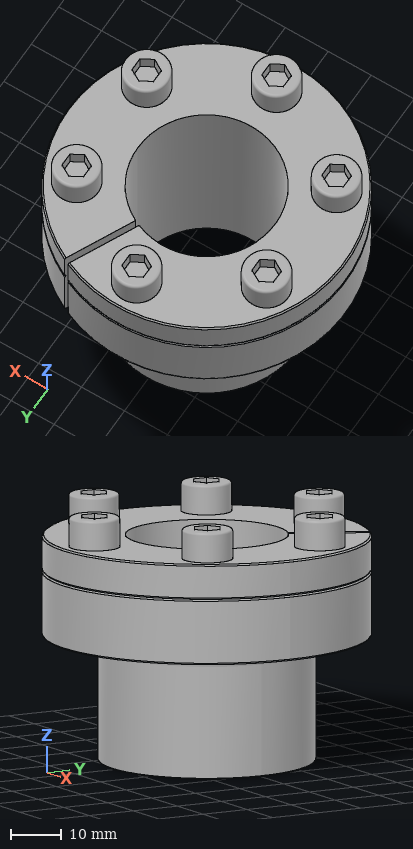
import cadquery as cq
import math

flange_diameter = 64.8
hub_diameter = 42.9
bore_diameter = 32.0

flange_bottom = 24.95
ring_joint = 38.0
ring_top = 45.0

edge_chamfer = 0.3
hub_chamfer = 0.25
neck_fillet = 2.5

slot_width = 1.3
slot_angle = 25.7

screw_count = 6
screw_circle_diameter = 51.1
screw_hole_diameter = 6.0
head_diameter = 10.0
head_height = 6.0
head_rounding = 0.65
socket_across_flats = 5.0
socket_depth = 3.0


def make_body():
    """Hub, flange and ring as one revolved section, with a V-groove at the ring joint."""
    flange_radius = flange_diameter / 2
    hub_radius = hub_diameter / 2
    bore_radius = bore_diameter / 2
    arc_inset = neck_fillet * (1 - math.sqrt(0.5))
    return (
        cq.Workplane("XZ")
        .moveTo(bore_radius, 0)
        .lineTo(hub_radius - hub_chamfer, 0)
        .lineTo(hub_radius, hub_chamfer)
        .lineTo(hub_radius, flange_bottom - neck_fillet)
        .threePointArc(
            (hub_radius + arc_inset, flange_bottom - arc_inset),
            (hub_radius + neck_fillet, flange_bottom),
        )
        .lineTo(flange_radius - edge_chamfer, flange_bottom)
        .lineTo(flange_radius, flange_bottom + edge_chamfer)
        .lineTo(flange_radius, ring_joint - edge_chamfer)
        .lineTo(flange_radius - edge_chamfer, ring_joint)
        .lineTo(flange_radius, ring_joint + edge_chamfer)
        .lineTo(flange_radius, ring_top - edge_chamfer)
        .lineTo(flange_radius - edge_chamfer, ring_top)
        .lineTo(bore_radius, ring_top)
        .close()
        .revolve(360, (0, 0, 0), (0, 1, 0))
    )


def at_screws(height):
    """Workplane at the given height with a point on every screw axis."""
    return (
        cq.Workplane("XY")
        .workplane(offset=height)
        .polarArray(screw_circle_diameter / 2, 90, 360, screw_count)
    )


def make_screw_heads():
    """Cylindrical heads with a rounded top edge."""
    heads = at_screws(ring_top).circle(head_diameter / 2).extrude(head_height)
    return heads.faces(">Z").edges().fillet(head_rounding)


def make_sockets():
    """Hexagonal recesses in the screw heads."""
    across_corners = socket_across_flats / math.cos(math.pi / 6)
    head_top = ring_top + head_height
    return at_screws(head_top).polygon(6, across_corners).extrude(-socket_depth)


def make_neck_clearances():
    """Scallops that the screw holes cut in the neck fillet; the screws end flush with the flange."""
    return at_screws(flange_bottom).circle(screw_hole_diameter / 2).extrude(-neck_fillet)


def make_slot():
    """Radial slot from the bore through one side, over the full height."""
    slot_length = flange_diameter / 2 + slot_width
    return (
        cq.Workplane("XY")
        .rect(slot_width, slot_length)
        .extrude(ring_top)
        .translate((0, slot_length / 2, 0))
        .rotate((0, 0, 0), (0, 0, 1), -slot_angle)
    )


result = (
    make_body()
    .union(make_screw_heads())
    .cut(make_sockets())
    .cut(make_neck_clearances())
    .cut(make_slot())
)